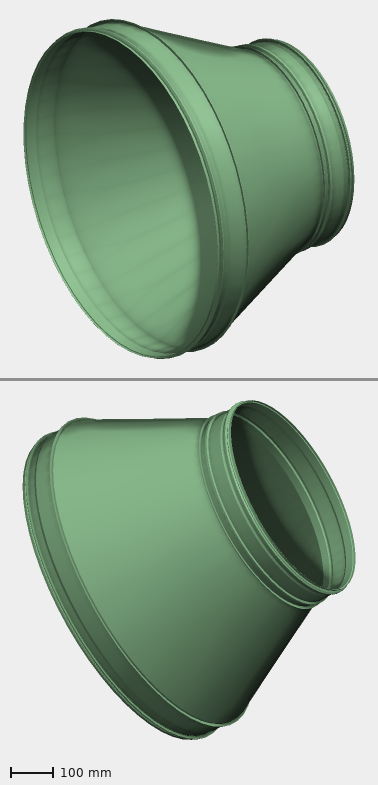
import cadquery as cq

length = 499.46
sheet = 0.5

small_diameter = 498.75
large_diameter = 798.65
small_flange_diameter = 512.75
large_flange_diameter = 813.08

small_seam = 88.9
large_seam = 84.5
cone_stub = 4.9
mouth_rim = 5.0
rim_step = 1.0
small_groove_end = 25.7
small_groove_step = 4.9
large_groove_end = 33.0
large_groove_step = 5.8

groove_depth = 2.4
gasket_base = 0.6
gasket_shoulder = 1.8
gasket_valley = 3.9
front_lip = 5.1
rear_lip = 7.6
front_lip_start = 7.2
front_lip_tip = 8.6
valley_position = 10.2
rear_lip_tip = 13.0
rear_lip_end = 15.2
gasket_end = 16.2

bead_height = 5.2
bead_start = 65.5
bead_crest_start = 67.3
bead_crest_end = 72.5
bead_end = 75.0


def revolve_about_y(points):
    """Revolve a closed (radius, y) outline a full turn about the Y axis."""
    return cq.Workplane("XY").polyline(points).close().revolve(360, (0, 0, 0), (0, 1, 0))


def place_at_large_end(points):
    """Turn (distance from mouth, radius) points into (radius, y) points at the large end."""
    return [(radius, distance) for distance, radius in points]


def place_at_small_end(points):
    """Turn (distance from mouth, radius) points into (radius, y) points at the small end."""
    return [(radius, length - distance) for distance, radius in points]


def collar_outline(diameter, flange_diameter, groove_end, groove_step, seam, bead):
    """Collar of constant radial thickness with a gasket groove and a flange at the seam."""
    outer = diameter / 2
    floor = outer - groove_depth
    wall = [
        (0, outer),
        (mouth_rim, outer),
        (mouth_rim + rim_step, floor),
        (groove_end, floor),
        (groove_end + groove_step, outer),
        *bead,
    ]
    seam_flange = [
        (seam - sheet, outer),
        (seam - sheet, flange_diameter / 2),
        (seam, flange_diameter / 2),
        (seam, outer - sheet),
    ]
    inner_wall = [(distance, radius - sheet) for distance, radius in reversed(wall)]
    return wall + seam_flange + inner_wall


def gasket_outline(diameter):
    """Flat band on the groove floor carrying a low front lip and a high rear lip."""
    floor = diameter / 2 - groove_depth
    start = mouth_rim + rim_step
    return [
        (start, floor),
        (start, floor + gasket_base),
        (front_lip_start, floor + gasket_base),
        (front_lip_start, floor + gasket_shoulder),
        (front_lip_tip, floor + front_lip),
        (valley_position, floor + gasket_valley),
        (rear_lip_tip, floor + rear_lip),
        (rear_lip_end, floor + rear_lip),
        (rear_lip_end, floor + gasket_base),
        (gasket_end, floor + gasket_base),
        (gasket_end, floor),
    ]


def make_cone():
    """Tapered shell with a straight stub and an outward flange at both ends."""
    small_outer = small_diameter / 2
    large_outer = large_diameter / 2
    small_seam_y = length - small_seam
    taper = [
        (large_outer, large_seam + cone_stub),
        (small_outer, small_seam_y - cone_stub),
    ]
    inner_taper = [(radius - sheet, y) for radius, y in reversed(taper)]
    return revolve_about_y([
        (large_outer - sheet, large_seam),
        (large_flange_diameter / 2, large_seam),
        (large_flange_diameter / 2, large_seam + sheet),
        (large_outer, large_seam + sheet),
        *taper,
        (small_outer, small_seam_y - sheet),
        (small_flange_diameter / 2, small_seam_y - sheet),
        (small_flange_diameter / 2, small_seam_y),
        (small_outer - sheet, small_seam_y),
        *inner_taper,
    ])


def make_small_collar():
    outer = small_diameter / 2
    stop_bead = [
        (bead_start, outer),
        (bead_crest_start, outer + bead_height),
        (bead_crest_end, outer + bead_height),
        (bead_end, outer),
    ]
    return revolve_about_y(place_at_small_end(collar_outline(
        small_diameter, small_flange_diameter, small_groove_end, small_groove_step, small_seam, stop_bead)))


def make_large_collar():
    return revolve_about_y(place_at_large_end(collar_outline(
        large_diameter, large_flange_diameter, large_groove_end, large_groove_step, large_seam, [])))


cone = make_cone()
small_collar = make_small_collar()
large_collar = make_large_collar()
small_gasket = revolve_about_y(place_at_small_end(gasket_outline(small_diameter)))
large_gasket = revolve_about_y(place_at_large_end(gasket_outline(large_diameter)))

result = cq.Compound.makeCompound([
    cone.val(),
    small_collar.val(),
    large_collar.val(),
    small_gasket.val(),
    large_gasket.val(),
])